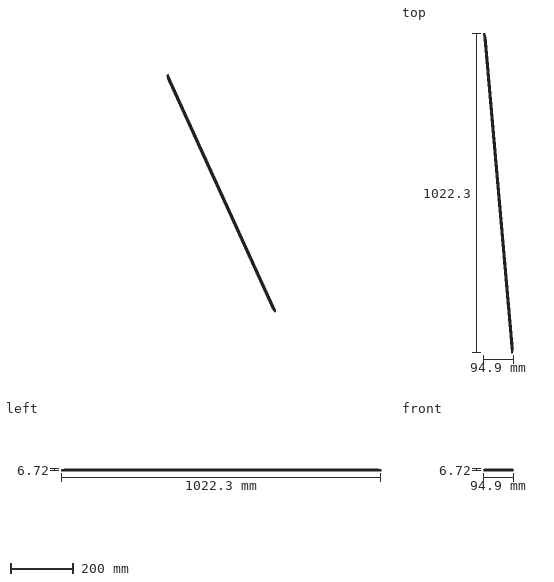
import cadquery as cq

DEPTH = 4.9
LOWER_THICKNESS = 0.8
CORE_THICKNESS = 3.2
UPPER_THICKNESS = 1.0

LENGTH = 1026.0
FIRST_SLOPE_DEPTH = 1.6
FIRST_SLOPE_SETBACK = 3.2
SECOND_SLOPE_SETBACK = 10.0

LEAN = 28.0
HEADING = 5.0


def positioned(body):
    """Lean the body about the long axis, then turn it to its heading."""
    leaned = body.rotate((0, 0, 0), (0, 1, 0), -LEAN)
    return leaned.rotate((0, 0, 0), (0, 0, 1), HEADING)


def make_layer(bottom, thickness):
    """Long flat strip whose ends are cut back in two slopes."""
    half_length = LENGTH / 2
    slope_break = half_length - FIRST_SLOPE_SETBACK
    short_half_length = slope_break - SECOND_SLOPE_SETBACK
    outline = [
        (0, -half_length),
        (FIRST_SLOPE_DEPTH, -slope_break),
        (DEPTH, -short_half_length),
        (DEPTH, short_half_length),
        (FIRST_SLOPE_DEPTH, slope_break),
        (0, half_length),
    ]
    strip = cq.Workplane("XY").workplane(offset=bottom).polyline(outline).close().extrude(thickness)
    return positioned(strip)


lower_strip = make_layer(0, LOWER_THICKNESS)
core_strip = make_layer(LOWER_THICKNESS, CORE_THICKNESS)
upper_strip = make_layer(LOWER_THICKNESS + CORE_THICKNESS, UPPER_THICKNESS)

result = cq.Compound.makeCompound([lower_strip.val(), core_strip.val(), upper_strip.val()])